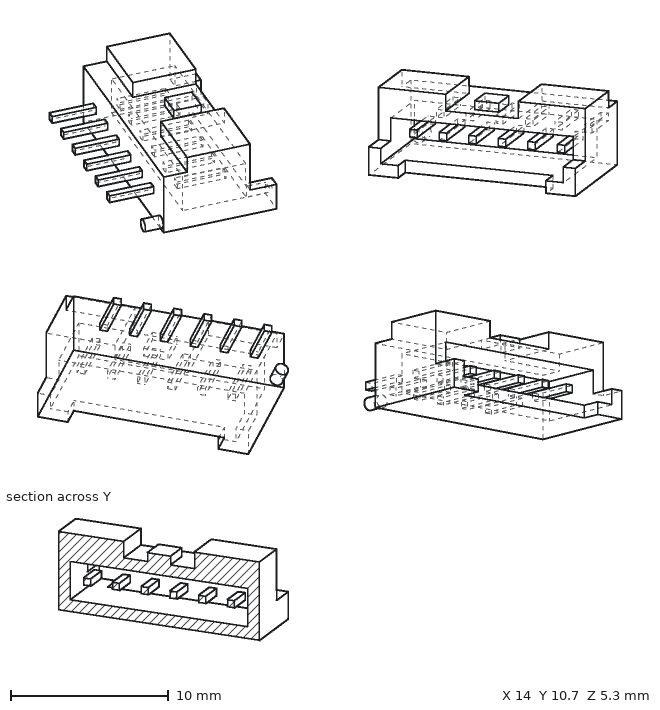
import cadquery as cq

width = 14.0
length = 7.7
body_height = 4.2
full_height = 5.3
wall = 0.83

lip_length = 1.8
lip_height = 1.85
ear_width = 2.0
notch_depth = 1.3
roof_end = length - lip_length

back_wall = 1.6
cavity_height = body_height - 2 * wall

block_width = 4.55
block_length = roof_end - back_wall
key_width = 1.62
key_length = 1.85
key_height = 0.59
key_setback = 0.92

pin_count = 6
pin_pitch = 2.0
pin_side = 0.5
pin_height = 2.18
pin_tail = 3.0
pin_tip_setback = 1.0
pin_length = pin_tail + roof_end - pin_tip_setback

peg_diameter = 0.84
peg_length = 1.2
peg_inset = 0.52


def box(x_center, y_start, z_start, size_x, size_y, size_z):
    """Box centred on x_center that grows toward +Y and +Z."""
    return cq.Workplane("XY").box(
        size_x, size_y, size_z, centered=(True, False, False)
    ).translate((x_center, y_start, z_start))


def housing():
    """Stepped shroud with its cavity open toward +Y."""
    shell = box(0, 0, 0, width, roof_end, body_height)
    shell = shell.union(box(0, 0, 0, width, length, lip_height))
    cavity = box(0, back_wall, wall, width - 2 * wall, length - back_wall, cavity_height)
    notch = box(0, length - notch_depth, 0, width - 2 * ear_width, notch_depth, lip_height)
    return shell.cut(cavity).cut(notch)


def roof_features():
    """Two raised corner blocks with a small key between them."""
    key_start = roof_end - key_setback - key_length
    features = box(0, key_start, body_height, key_width, key_length, key_height)
    block_x = (width - block_width) / 2
    for x in (-block_x, block_x):
        block = box(x, back_wall, body_height, block_width, block_length, full_height - body_height)
        features = features.union(block)
    return features


def pin(index):
    """Square contact running through the back wall into the cavity."""
    x = (index - (pin_count - 1) / 2) * pin_pitch
    return box(x, -pin_tail, pin_height - pin_side / 2, pin_side, pin_length, pin_side)


def peg():
    """Round locating peg on the back wall, at the lower +X corner."""
    return (
        cq.Workplane("XZ")
        .center(width / 2 - peg_inset, peg_inset)
        .circle(peg_diameter / 2)
        .extrude(peg_length)
    )


result = housing().union(roof_features()).union(peg())
for pin_index in range(pin_count):
    result = result.union(pin(pin_index))